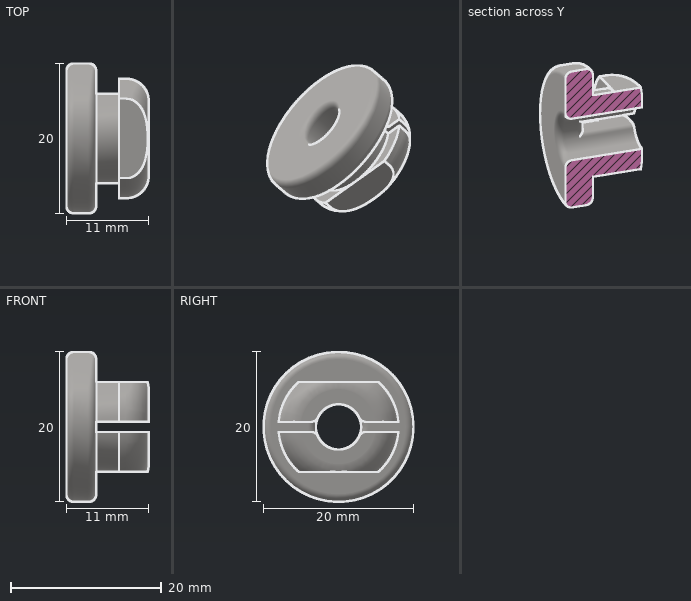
import cadquery as cq
import math

flange_radius = 10.0
flange_thickness = 4.0
flange_edge_radius = 1.0

neck_radius = 6.0
neck_length = 3.0

head_radius = 8.0
head_length = 4.0
head_edge_radius = 3.0
head_flat_distance = neck_radius

bore_radius = 3.0
bore_mouth_radius = 1.0
slot_width = 1.35
slot_edge_radius = 1.0
selection_margin = 0.1

head_start = flange_thickness + neck_length
total_length = head_start + head_length


def disc(start, length, radius):
    """Cylinder on the X axis, running from start in the +X direction."""
    return cq.Workplane("YZ").workplane(offset=start).circle(radius).extrude(length)


def flange():
    """Disc with both rims rounded and a flared mouth on the bore."""
    body = disc(0, flange_thickness, flange_radius).edges("%CIRCLE").fillet(flange_edge_radius)
    body = body.cut(disc(0, flange_thickness, bore_radius))
    mouth_edge = cq.selectors.RadiusNthSelector(0)
    return body.faces("<X").edges(mouth_edge).fillet(bore_mouth_radius)


def split_head():
    """Neck and rounded head with two flats, bored and split into two prongs."""
    head = disc(head_start, head_length, head_radius).faces(">X").edges().fillet(head_edge_radius)
    flats = cq.Workplane("XY").box(
        total_length, 2 * head_radius, 2 * head_flat_distance, centered=(False, True, True)
    )
    neck = disc(flange_thickness, neck_length, neck_radius)
    prong_length = neck_length + head_length
    slot = cq.Workplane("XY").box(
        prong_length, 2 * head_radius, slot_width, centered=(False, True, True)
    ).translate((flange_thickness, 0, 0))
    bore = disc(flange_thickness, prong_length, bore_radius)
    return neck.union(head.intersect(flats)).cut(bore).cut(slot)


def round_slot_edges(body):
    """Round the edges where the slot opens into the bore, on both sides of the axis."""
    corner_y = math.sqrt(bore_radius**2 - (slot_width / 2) ** 2)
    nearest_y = corner_y - selection_margin
    farthest_y = bore_radius + selection_margin
    first_x = flange_thickness - selection_margin
    last_x = total_length - selection_margin
    left_side = cq.selectors.BoxSelector(
        (first_x, nearest_y, -slot_width), (last_x, farthest_y, slot_width)
    )
    right_side = cq.selectors.BoxSelector(
        (first_x, -farthest_y, -slot_width), (last_x, -nearest_y, slot_width)
    )
    return body.edges(left_side + right_side).fillet(slot_edge_radius)


result = round_slot_edges(flange().union(split_head()))